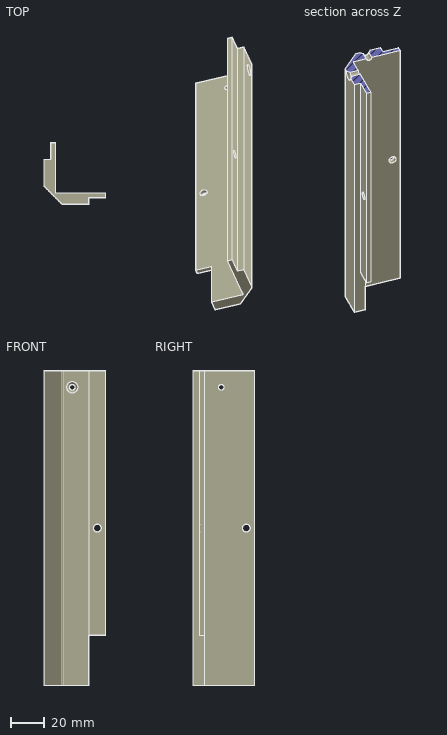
import cadquery as cq

leg_length = 37.0
height = 188.45

inner_face = 7.0
step_depth = 4.0
step_position = 27.0
bevel = 11.0
bevel_rounding = 1.5

cutout_height = 30.0

screw_position = 17.0
screw_inset = 10.0
screw_height = height - screw_inset
screw_diameter = 3.2
countersink_diameter = 6.7

wing_hole_position = 32.0
wing_hole_height = height / 2
wing_hole_diameter = 4.5


def corner_profile():
    """L-shaped bar, symmetric about the X = Y diagonal, extruded along Z."""
    x_leg = [
        (bevel, 0),
        (step_position, 0),
        (step_position, step_depth),
        (leg_length, step_depth),
        (leg_length, inner_face),
    ]
    y_leg = [(y, x) for x, y in reversed(x_leg)]
    outline = x_leg + [(inner_face, inner_face)] + y_leg
    bar = cq.Workplane("XY").polyline(outline).close().extrude(height)
    for x, y in [(bevel, 0), (0, bevel)]:
        edge = cq.selectors.NearestToPointSelector((x, y, height / 2))
        bar = bar.edges("|Z").edges(edge).fillet(bevel_rounding)
    return bar


def wing_cutout():
    """Block that removes the lower end of the X wing."""
    return cq.Workplane("XY").box(
        leg_length - step_position, inner_face, cutout_height, centered=False
    ).translate((step_position, 0, 0))


def x_leg_holes():
    """Cutters for the X leg, entering from the outer face at Y = 0."""
    screw_radius = screw_diameter / 2
    sink_radius = countersink_diameter / 2
    direction = cq.Vector(0, 1, 0)
    screw_center = cq.Vector(screw_position, 0, screw_height)
    wing_center = cq.Vector(wing_hole_position, 0, wing_hole_height)

    sink_depth = sink_radius - screw_radius
    screw = cq.Solid.makeCylinder(screw_radius, inner_face, screw_center, direction)
    sink = cq.Solid.makeCone(sink_radius, screw_radius, sink_depth, screw_center, direction)
    wing = cq.Solid.makeCylinder(wing_hole_diameter / 2, inner_face, wing_center, direction)
    return cq.Workplane(obj=screw).union(cq.Workplane(obj=sink)).union(cq.Workplane(obj=wing))


def mirror_to_y_leg(cutters):
    """Swap X and Y: mirror across the YZ plane, then turn a quarter clockwise."""
    return cutters.mirror("YZ").rotate((0, 0, 0), (0, 0, 1), -90)


holes = x_leg_holes()
result = corner_profile().cut(wing_cutout()).cut(holes).cut(mirror_to_y_leg(holes))